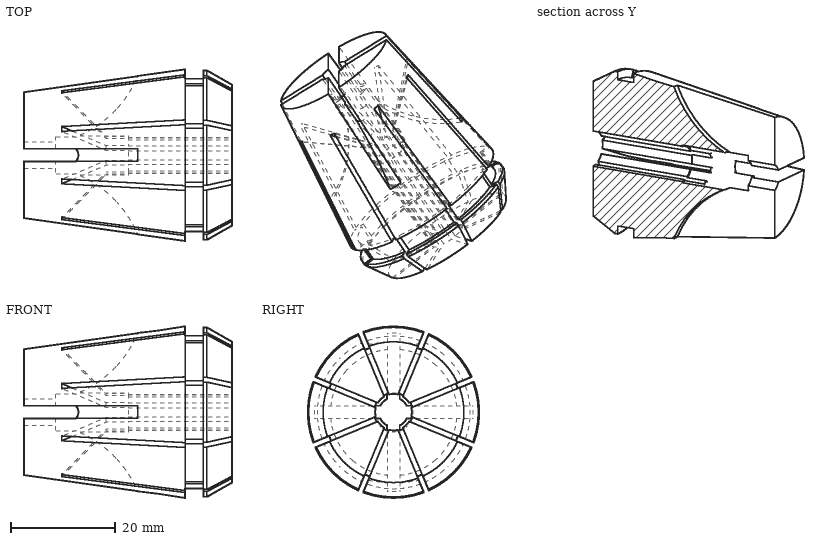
import cadquery as cq
import math

length = 40.0
nose_radius = 12.15
cone_diameter = 33.0
cone_radius = cone_diameter / 2
cone_length = 30.95
groove_radius = 14.7
groove_end = 34.5
collar_radius = 16.3
collar_chamfer_start = 35.15
rear_radius = 13.5

nose_bore_radius = 2.8
relief_radius = 3.7
clamping_bore_radius = 3.5
relief_start = 6.0
relief_end = 20.0

wide_slot_count = 4
wide_slot_width = 2.4
saw_radius = 21.6
saw_center_x = 1.9
saw_center_radius = 23.55

narrow_slot_count = 8
narrow_slot_width = 1.0
narrow_slot_start = 7.25
narrow_slot_end_angle = 48.0

clearance = 2.0


def make_body():
    """Solid of revolution with the cone, extraction groove and chamfered collar."""
    profile = [
        (0, 0),
        (0, nose_radius),
        (cone_length, cone_radius),
        (cone_length, groove_radius),
        (groove_end, groove_radius),
        (groove_end, collar_radius),
        (collar_chamfer_start, collar_radius),
        (length, rear_radius),
        (length, 0),
    ]
    return cq.Workplane("XY").polyline(profile).close().revolve(360, (0, 0, 0), (1, 0, 0))


def bore_section(radius, start, end):
    """Cylinder on the X axis between two stations."""
    return cq.Workplane("YZ").workplane(offset=start).circle(radius).extrude(end - start)


def make_bore():
    """Through bore with a wider relief between the nose and the clamping bore."""
    nose_bore = bore_section(nose_bore_radius, 0, relief_start)
    relief = bore_section(relief_radius, relief_start, relief_end)
    clamping_bore = bore_section(clamping_bore_radius, relief_end, length)
    return nose_bore.union(relief).union(clamping_bore)


def make_wide_slot():
    """Slot on the +Y side, open at the nose and ending on the saw arc."""
    outer = cone_radius + clearance

    def saw_x(radius):
        return saw_center_x + math.sqrt(saw_radius**2 - (saw_center_radius - radius) ** 2)

    middle = outer / 2
    inner = saw_center_radius - saw_radius
    return (
        cq.Workplane("XY")
        .moveTo(-clearance, 0)
        .lineTo(saw_center_x, 0)
        .lineTo(saw_center_x, inner)
        .threePointArc((saw_x(middle), middle), (saw_x(outer), outer))
        .lineTo(-clearance, outer)
        .close()
        .extrude(wide_slot_width / 2, both=True)
    )


def make_narrow_slot():
    """Slot on the +Y side, open at the rear, the cone and the bore."""
    outer = cone_radius + clearance
    cone_slope = (cone_radius - nose_radius) / cone_length
    start_radius = nose_radius + cone_slope * narrow_slot_start
    end_slope = math.tan(math.radians(narrow_slot_end_angle))
    profile = [
        (narrow_slot_start, start_radius),
        (narrow_slot_start + start_radius / end_slope, 0),
        (length + clearance, 0),
        (length + clearance, outer),
        (narrow_slot_start, outer),
    ]
    return cq.Workplane("XY").polyline(profile).close().extrude(narrow_slot_width / 2, both=True)


def cut_around_axis(body, cutter, count, first_angle):
    """Cut evenly spaced copies of the cutter around the X axis."""
    for index in range(count):
        angle = first_angle + index * 360 / count
        body = body.cut(cutter.rotate((0, 0, 0), (1, 0, 0), angle))
    return body


body = make_body().cut(make_bore())
body = cut_around_axis(body, make_wide_slot(), wide_slot_count, 0)
result = cut_around_axis(body, make_narrow_slot(), narrow_slot_count, 180 / narrow_slot_count)